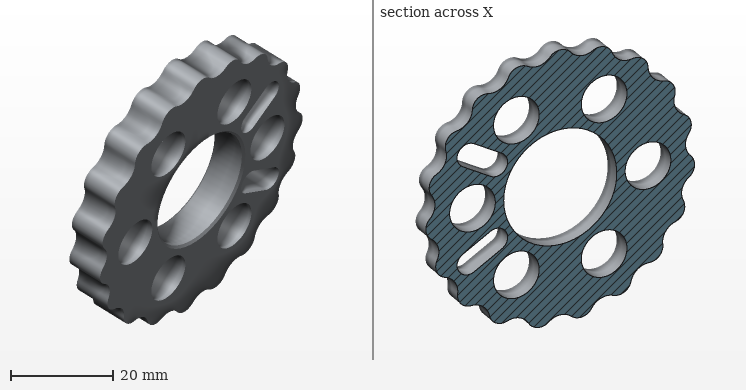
import cadquery as cq
import math

thickness = 8.0
lobe_count = 19
width = 59.8
root_radius = 28.0
lobe_radius = 3.0

pitch = 2 * math.pi / lobe_count
lobe_center = (width / 2 - lobe_radius) / math.cos(pitch / 4)
tip_radius = lobe_center + lobe_radius

bore_radius = 12.5
bore_chamfer = 0.5

hole_count = 6
hole_radius = 5.0
hole_circle_radius = 19.5

slot_width = 5.0
slot_inner_radius = 16.45
slot_outer_radius = 23.5
slot_angles = (-30, 30)


def polar(radius, angle):
    """Point in the YZ plane, with the angle in radians from +Z toward +Y."""
    return (radius * math.sin(angle), radius * math.cos(angle))


def scalloped_disc():
    """Disc whose rim alternates convex lobes and tangent concave valleys."""
    spread = 2 * lobe_center * (1 - math.cos(pitch / 2))
    step = root_radius - lobe_center
    valley_radius = (step**2 + spread * root_radius - lobe_radius**2) / (2 * lobe_radius - 2 * step - spread)
    valley_center = root_radius + valley_radius

    lobe_y, lobe_z = polar(lobe_center, 0)
    valley_y, valley_z = polar(valley_center, pitch / 2)
    share = lobe_radius / (lobe_radius + valley_radius)
    joint_y = lobe_y + share * (valley_y - lobe_y)
    joint_z = lobe_z + share * (valley_z - lobe_z)
    joint_radius = math.hypot(joint_y, joint_z)
    joint_angle = math.atan2(joint_y, joint_z)

    rim = cq.Workplane("YZ").moveTo(*polar(joint_radius, -joint_angle))
    for i in range(lobe_count):
        tip = i * pitch
        rim = rim.threePointArc(polar(tip_radius, tip), polar(joint_radius, tip + joint_angle))
        rim = rim.threePointArc(
            polar(root_radius, tip + pitch / 2),
            polar(joint_radius, tip + pitch - joint_angle),
        )
    return rim.close().extrude(thickness)


def bore_mouth(x, direction):
    """Cone that chamfers the bore, from the face at x inward along direction."""
    cone = cq.Solid.makeCone(
        bore_radius + bore_chamfer,
        bore_radius,
        bore_chamfer,
        pnt=cq.Vector(x, 0, 0),
        dir=cq.Vector(direction, 0, 0),
    )
    return cq.Workplane(cone)


def bore():
    """Central through bore, chamfered at both faces."""
    hole = cq.Workplane("YZ").circle(bore_radius).extrude(thickness)
    return hole.union(bore_mouth(0, 1)).union(bore_mouth(thickness, -1))


def round_holes():
    """Ring of equal through holes, the first one on +Y."""
    return (
        cq.Workplane("YZ")
        .polarArray(hole_circle_radius, 0, 360, hole_count)
        .circle(hole_radius)
        .extrude(thickness)
    )


def radial_slot(angle):
    """Through slot along the radius at an angle in degrees from +Y toward +Z."""
    length = slot_outer_radius - slot_inner_radius + slot_width
    middle = (slot_inner_radius + slot_outer_radius) / 2
    slot = cq.Workplane("YZ").center(middle, 0).slot2D(length, slot_width).extrude(thickness)
    return slot.rotate((0, 0, 0), (1, 0, 0), angle)


result = scalloped_disc().cut(bore()).cut(round_holes())
for slot_angle in slot_angles:
    result = result.cut(radial_slot(slot_angle))